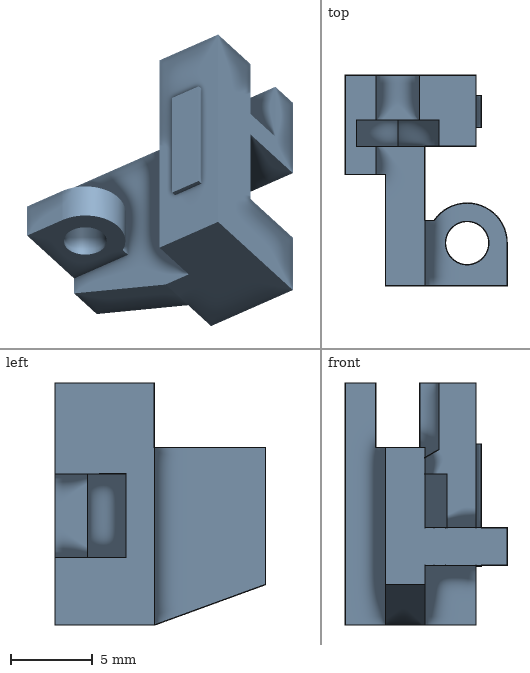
import cadquery as cq
import math


overall_width = 9.9
overall_depth = 12.88
overall_height = 14.8

block_width = 8.0
block_front = 8.52
pad_width = 2.45
pad_front = 6.8

rib_left = pad_width
rib_right = 4.87
rib_top = 10.86
rib_front_bottom = 2.48

slot_left = 1.87
slot_width = 2.68
slot_right = slot_left + slot_width

nut_width = 5.06
nut_center = slot_left + slot_width / 2
nut_front = block_front
nut_back = 10.15
nut_shoulder_height = 10.74
nut_flank_drop = nut_width / 2 * math.tan(math.radians(30))

window_bottom = 4.14
window_top = 9.24
window_step = 10.88
window_front_right = 6.23
window_back_right = slot_right

bar_height = 0.31
bar_front = 9.68
bar_back = 11.65
bar_bottom = 3.6
bar_top = 11.08

lug_bottom = 3.66
lug_top = 5.96
lug_radius = 2.45
lug_shoulder = 4.0
hole_diameter = 2.63
hole_x = overall_width - lug_radius
hole_y = 2.62


def box_between(x_range, y_range, z_range):
    """Box given by its (low, high) limits along each axis."""
    lows, highs = zip(x_range, y_range, z_range)
    lengths = [high - low for low, high in zip(lows, highs)]
    return cq.Workplane("XY").box(*lengths, centered=False).translate(lows)


def make_block():
    full_height = (0, overall_height)
    block = box_between((0, block_width), (block_front, overall_depth), full_height)
    pad = box_between((0, pad_width), (pad_front, overall_depth), full_height)
    return block.union(pad)


def make_rib():
    """Rib whose lower edge rises from the pad's foot to its front end."""
    side_outline = [
        (0, rib_front_bottom),
        (pad_front, 0),
        (block_front, 0),
        (block_front, rib_top),
        (0, rib_top),
    ]
    rib = cq.Workplane("YZ").polyline(side_outline).close().extrude(rib_right - rib_left)
    return rib.translate((rib_left, 0, 0))


def make_lug():
    """Flat lug: rectangular base with a round boss flush with the right side."""
    heights = (lug_bottom, lug_top)
    thickness = lug_top - lug_bottom
    left_base = box_between((rib_left, hole_x), (0, lug_shoulder), heights)
    right_base = box_between((hole_x, overall_width), (0, hole_y), heights)
    boss = cq.Workplane("XY").center(hole_x, hole_y).circle(lug_radius).extrude(thickness)
    return left_base.union(right_base).union(boss.translate((0, 0, lug_bottom)))


def make_lug_hole():
    hole = cq.Workplane("XY").center(hole_x, hole_y).circle(hole_diameter / 2)
    return hole.extrude(lug_top - lug_bottom).translate((0, 0, lug_bottom))


def make_bar():
    return box_between(
        (block_width, block_width + bar_height), (bar_front, bar_back), (bar_bottom, bar_top)
    )


def make_slot():
    return box_between((slot_left, slot_right), (pad_front, overall_depth), (rib_top, overall_height))


def make_nut_pocket():
    left = nut_center - nut_width / 2
    right = nut_center + nut_width / 2
    front_outline = [
        (left, overall_height),
        (left, nut_shoulder_height),
        (nut_center, nut_shoulder_height - nut_flank_drop),
        (right, nut_shoulder_height),
        (right, overall_height),
    ]
    pocket = cq.Workplane("XZ").polyline(front_outline).close().extrude(nut_front - nut_back)
    return pocket.translate((0, nut_front, 0))


def make_window():
    heights = (window_bottom, window_top)
    front_part = box_between((0, window_front_right), (block_front, window_step), heights)
    back_part = box_between((0, window_back_right), (window_step, overall_depth), heights)
    return front_part.union(back_part)


body = make_block()
for cut in (make_slot(), make_nut_pocket(), make_window()):
    body = body.cut(cut)

for added in (make_rib(), make_lug(), make_bar()):
    body = body.union(added)

result = body.cut(make_lug_hole())